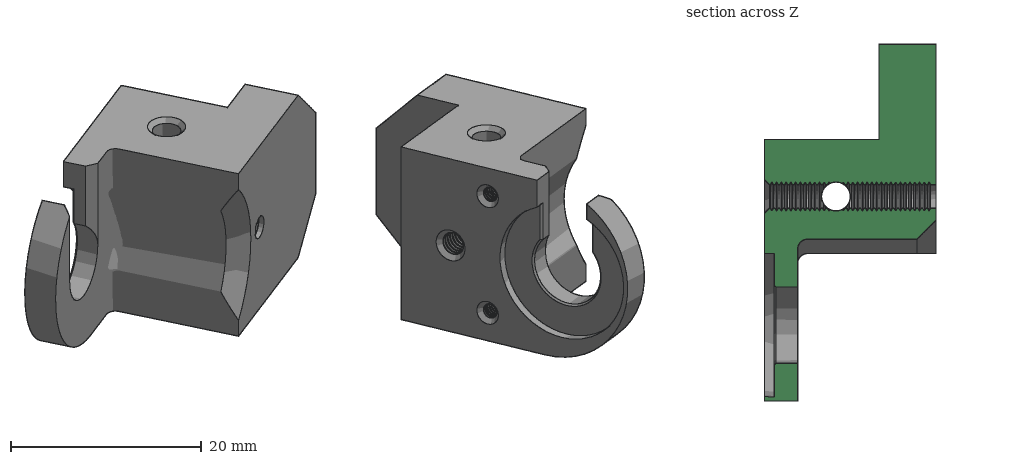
import cadquery as cq
import math

width = 18.0
height = 20.0
half_height = height / 2

block_front_y = 7.5
block_length = 12.0
block_back_y = block_front_y + block_length
arm_thickness = 6.0
arm_length = 10.0
arm_corner_chamfer = 5.0

hook_thickness = 3.5
hook_arc_center_y = 2.0
hook_arc_radius = half_height
hook_end_y = hook_arc_center_y - hook_arc_radius
bore_radius = 4.0
slot_half_width = 3.0
seat_radius = 7.5
seat_depth = 1.0
front_edge_chamfer = 0.2
back_edge_chamfer = 1.0

groove_radius = 9.0
groove_mouth_chamfer = 2.0
groove_edge_fillet = 0.5
inner_corner_fillet = 1.0

cross_hole_y = block_front_y + block_length / 2
vertical_hole_x = 7.5
vertical_hole_diameter = 3.0
vertical_mouth_diameter = 4.0
cross_hole_diameter = 2.46
cross_mouth_diameter = 3.5
pilot_hole_y = 9.0
pilot_hole_z = 6.75
pilot_hole_diameter = 1.6
pilot_mouth_diameter = 2.6
pilot_hole_depth = 6.0
drill_tip_angle = 118.0

cross_thread_diameter = 3.0
cross_thread_pitch = 0.5
pilot_thread_diameter = 2.0
pilot_thread_pitch = 0.4
thread_angle = 60.0

X_DIRECTION = cq.Vector(1, 0, 0)
DOWN = cq.Vector(0, 0, -1)


def cylinder_x(radius, start_x, length):
    return cq.Solid.makeCylinder(radius, length, cq.Vector(start_x, 0, 0), X_DIRECTION)


def cone_x(start_radius, end_radius, start_x, length):
    return cq.Solid.makeCone(start_radius, end_radius, length, cq.Vector(start_x, 0, 0), X_DIRECTION)


def make_block():
    """L-shaped block and arm, with the two rear corners of the arm chamfered."""
    block = cq.Workplane("XY").box(width, block_length, height, centered=(False, False, True))
    block = block.translate((0, block_front_y, 0))
    arm = cq.Workplane("XY").box(arm_thickness, arm_length, height, centered=(False, False, True))
    arm = arm.edges(">Y and |X").chamfer(arm_corner_chamfer)
    return block.union(arm.translate((width - arm_thickness, block_back_y, 0)))


def cut_groove(block):
    """Round trough across the block face, flared at its open end."""
    mouth_start = width - groove_mouth_chamfer
    mouth_radius = groove_radius + groove_mouth_chamfer
    block = block.cut(cq.Workplane(cylinder_x(groove_radius, 0, width)))
    edge_z = math.sqrt(groove_radius**2 - block_front_y**2)
    for side in (-1, 1):
        edge_point = (mouth_start / 2, block_front_y, side * edge_z)
        block = block.edges(cq.selectors.NearestToPointSelector(edge_point)).fillet(groove_edge_fillet)
    return block.cut(cq.Workplane(cone_x(groove_radius, mouth_radius, mouth_start, groove_mouth_chamfer)))


def make_hook_plate():
    """Plate with a rounded end, overlapping the block as far as its back face."""
    return (
        cq.Workplane("YZ")
        .moveTo(block_back_y, -half_height)
        .lineTo(hook_arc_center_y, -half_height)
        .threePointArc((hook_end_y, 0), (hook_arc_center_y, half_height))
        .lineTo(block_back_y, half_height)
        .close()
        .extrude(hook_thickness)
    )


def fillet_inner_corner(body):
    """Round the corner where the block face and its groove meet the hook plate."""
    tolerance = 0.01
    corner = cq.selectors.BoxSelector(
        (hook_thickness - tolerance, block_front_y - tolerance, -half_height - tolerance),
        (hook_thickness + tolerance, groove_radius + tolerance, half_height + tolerance),
        boundingbox=True,
    )
    return body.edges(corner).fillet(inner_corner_fillet)


def slot_flare(narrow_x, wide_x):
    """Wedge that bevels both slot flanks, from the slot width at narrow_x to wider at wide_x."""
    wide = slot_half_width + abs(wide_x - narrow_x)
    corners = [
        (narrow_x, -slot_half_width),
        (wide_x, -wide),
        (wide_x, wide),
        (narrow_x, slot_half_width),
    ]
    return cq.Workplane("XY").polyline(corners).close().extrude(half_height)


def cut_bore_and_slot(body):
    """Bore open to the top through a slot, with a shallow seat around it."""
    bore = cylinder_x(bore_radius, 0, hook_thickness)
    slot = cq.Workplane("XY").box(
        hook_thickness, 2 * slot_half_width, half_height, centered=(False, True, False)
    )
    seat = cylinder_x(seat_radius, 0, seat_depth)
    bevel_radius = bore_radius + front_edge_chamfer
    bore_bevel = cone_x(bevel_radius, bore_radius, seat_depth, front_edge_chamfer)
    front_flare = slot_flare(seat_depth + front_edge_chamfer, seat_depth)
    front_flare = front_flare.intersect(cq.Workplane(cylinder_x(seat_radius, 0, hook_thickness)))
    back_flare = slot_flare(hook_thickness - back_edge_chamfer, hook_thickness)
    body = body.cut(cq.Workplane(bore)).cut(slot).cut(cq.Workplane(seat))
    return body.cut(cq.Workplane(bore_bevel)).cut(front_flare).cut(back_flare)


def drill(body, mouth, direction, diameter, mouth_diameter, depth, pointed=False):
    """Countersunk hole from the point mouth, optionally ending in a drill tip."""
    radius = diameter / 2
    mouth_radius = mouth_diameter / 2
    start = cq.Vector(*mouth)
    shank = cq.Solid.makeCylinder(radius, depth, start, direction)
    countersink = cq.Solid.makeCone(mouth_radius, radius, mouth_radius - radius, start, direction)
    body = body.cut(cq.Workplane(shank)).cut(cq.Workplane(countersink))
    if pointed:
        tip_length = radius / math.tan(math.radians(drill_tip_angle / 2))
        tip = cq.Solid.makeCone(radius, 0, tip_length, start + direction * depth, direction)
        body = body.cut(cq.Workplane(tip))
    return body


def threaded_hole(body, mouth, hole_diameter, mouth_diameter, thread_diameter, pitch, depth, pointed):
    """Drilled hole along X with V-grooves from the foot of its countersink to its full depth."""
    body = drill(body, mouth, X_DIRECTION, hole_diameter, mouth_diameter, depth, pointed)
    hole_radius = hole_diameter / 2
    thread_radius = thread_diameter / 2
    half_groove = (thread_radius - hole_radius) * math.tan(math.radians(thread_angle / 2))
    thread_start = (mouth_diameter - hole_diameter) / 2
    groove_count = math.floor((depth - thread_start) / pitch)
    profile = cq.Workplane("XY").moveTo(thread_start, 0).lineTo(thread_start, hole_radius)
    for index in range(groove_count):
        groove_x = thread_start + (index + 0.5) * pitch
        profile = (
            profile.lineTo(groove_x - half_groove, hole_radius)
            .lineTo(groove_x, thread_radius)
            .lineTo(groove_x + half_groove, hole_radius)
        )
    thread = profile.lineTo(depth, hole_radius).lineTo(depth, 0).close().revolve(360, (0, 0), (1, 0))
    return body.cut(thread.translate(mouth))


def drill_holes(body):
    vertical_mouth = (vertical_hole_x, cross_hole_y, half_height)
    body = drill(body, vertical_mouth, DOWN, vertical_hole_diameter, vertical_mouth_diameter, height)
    body = threaded_hole(
        body,
        (0, cross_hole_y, 0),
        cross_hole_diameter,
        cross_mouth_diameter,
        cross_thread_diameter,
        cross_thread_pitch,
        width,
        pointed=False,
    )
    for side in (-1, 1):
        body = threaded_hole(
            body,
            (0, pilot_hole_y, side * pilot_hole_z),
            pilot_hole_diameter,
            pilot_mouth_diameter,
            pilot_thread_diameter,
            pilot_thread_pitch,
            pilot_hole_depth,
            pointed=True,
        )
    return body


part = cut_groove(make_block()).union(make_hook_plate())
part = fillet_inner_corner(part)
part = cut_bore_and_slot(part)
result = drill_holes(part)